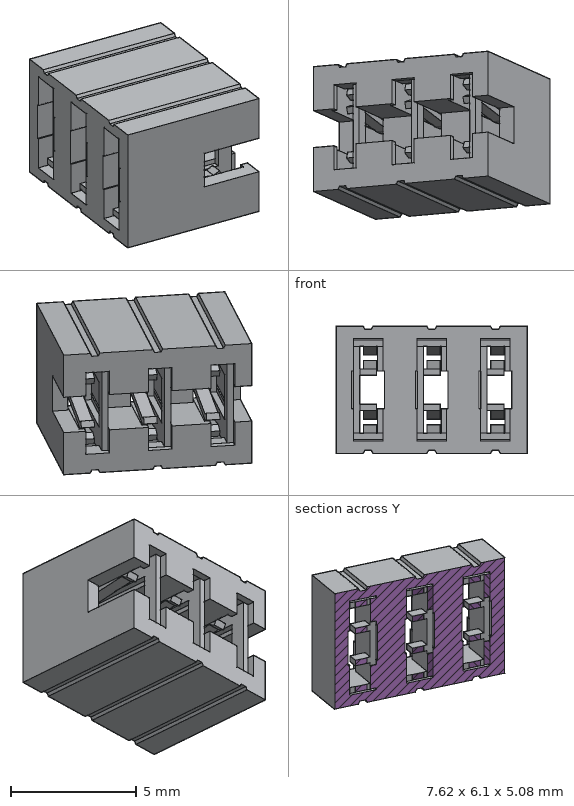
import cadquery as cq

LENGTH_X = 7.62
DEPTH_Y = 6.1
HEIGHT_Z = 5.08
CELL_COUNT = 3
PITCH = LENGTH_X / CELL_COUNT
FRONT = -DEPTH_Y / 2
BACK = DEPTH_Y / 2

CELL_WIDTH = 1.17
CELL_HEIGHT = 4.1
REAR_WALL = 0.31
EXIT_CLEARANCE = 0.03
WINDOW_DEPTH = 2.54
WINDOW_HEIGHT = 1.5
SLOT_WIDTH = 1.295
GROOVE_TOP_WIDTH = 0.4
GROOVE_FLOOR_WIDTH = 0.25
GROOVE_DEPTH = 0.12

SHEET = 0.26
CONTACT_HEIGHT = 3.98
CONTACT_WIDTH = 0.93
CONTACT_SETBACK = 0.43
INNER_LEAF_TOP = 0.83
INNER_LEAF_SETBACK = 1.525
BOX_END_FROM_BACK = 4.115
REAR_RING_LENGTH = 0.625
WEB_RAIL = 1.04
BEAM_WIDTH = 0.53
BEAM_NECK_FROM_BACK = 1.56
BEAM_TIP_FROM_BACK = 1.17
BEAM_TIP_RISE = 0.14
BEAM_TIP_LEAN = 0.11
PIN_GAP = 0.21

CELL_LEFT = -CELL_WIDTH / 2
CELL_RIGHT = CELL_WIDTH / 2
WEB_RIGHT = CELL_LEFT + SHEET
CONTACT_RIGHT = CELL_LEFT + CONTACT_WIDTH
BEAM_LEFT = CONTACT_RIGHT - BEAM_WIDTH
CONTACT_FRONT = FRONT + CONTACT_SETBACK
CONTACT_BACK = BACK - REAR_WALL
RING_FRONT = CONTACT_BACK - REAR_RING_LENGTH
BOX_END = BACK - BOX_END_FROM_BACK
CONTACT_TOP = CONTACT_HEIGHT / 2
OUTER_LEAF_UNDERSIDE = CONTACT_TOP - SHEET
PIN_AXIS_Z = (OUTER_LEAF_UNDERSIDE + INNER_LEAF_TOP) / 2
CELL_CENTRES = [(i - (CELL_COUNT - 1) / 2) * PITCH for i in range(CELL_COUNT)]


def block(x0, x1, y0, y1, z0, z1):
    """Box spanning the given limits on each axis."""
    return cq.Workplane("XY").box(x1 - x0, y1 - y0, z1 - z0, centered=False).translate((x0, y0, z0))


def mirrored_in_z(shape):
    """The shape together with its mirror image below the XY plane."""
    return shape.union(shape.mirror("XY"))


def groove(centre_x):
    """Trapezoidal grooves along Y in the top and bottom faces."""
    top = HEIGHT_Z / 2
    outline = [
        (-GROOVE_TOP_WIDTH / 2, top),
        (GROOVE_TOP_WIDTH / 2, top),
        (GROOVE_FLOOR_WIDTH / 2, top - GROOVE_DEPTH),
        (-GROOVE_FLOOR_WIDTH / 2, top - GROOVE_DEPTH),
    ]
    cutter = cq.Workplane("XZ").polyline(outline).close().extrude(DEPTH_Y / 2, both=True)
    return mirrored_in_z(cutter).translate((centre_x, 0, 0))


def cell_cavity(centre_x):
    """Contact chamber open to the front, a through slot and the exit in the rear wall."""
    half_height = CELL_HEIGHT / 2
    half_window = WINDOW_HEIGHT / 2
    chamber = block(CELL_LEFT, CELL_RIGHT, FRONT, CONTACT_BACK, -half_height, half_height)
    slot = block(-SLOT_WIDTH / 2, SLOT_WIDTH / 2, FRONT, BACK, -half_window, half_window)
    rear_exit = block(
        CELL_LEFT, CONTACT_RIGHT + EXIT_CLEARANCE, CONTACT_BACK, BACK,
        -OUTER_LEAF_UNDERSIDE, OUTER_LEAF_UNDERSIDE,
    )
    return chamber.union(slot).union(rear_exit).translate((centre_x, 0, 0))


def make_housing():
    """Block with three contact cells, grooves and a cross window open to the back."""
    body = cq.Workplane("XY").box(LENGTH_X, DEPTH_Y, HEIGHT_Z)
    window = block(
        -LENGTH_X / 2, LENGTH_X / 2, BACK - WINDOW_DEPTH, BACK, -WINDOW_HEIGHT / 2, WINDOW_HEIGHT / 2
    )
    body = body.cut(window)
    for centre_x in CELL_CENTRES:
        body = body.cut(cell_cavity(centre_x)).cut(groove(centre_x))
    return body


def spring_beam(root_z, side):
    """Beam that closes on the pin axis and flares at its tip; side is +1 above the axis, -1 below."""
    neck_y = BACK - BEAM_NECK_FROM_BACK
    tip_y = BACK - BEAM_TIP_FROM_BACK
    neck_z = PIN_AXIS_Z + side * PIN_GAP / 2
    tip_z = neck_z + side * BEAM_TIP_RISE
    thickness = side * SHEET
    outline = [
        (BOX_END, root_z),
        (neck_y, neck_z),
        (tip_y, tip_z),
        (tip_y - BEAM_TIP_LEAN, tip_z + thickness),
        (neck_y, neck_z + thickness),
        (BOX_END, root_z + thickness),
    ]
    beam = cq.Workplane("YZ").polyline(outline).close().extrude(BEAM_WIDTH)
    return beam.translate((BEAM_LEFT, 0, 0))


def make_contact(centre_x):
    """Sheet-metal contact with a side web and two pairs of spring beams."""
    rail_inner = CONTACT_TOP - WEB_RAIL
    web = block(CELL_LEFT, WEB_RIGHT, CONTACT_FRONT + SHEET, CONTACT_BACK, -CONTACT_TOP, CONTACT_TOP)
    web = web.cut(block(CELL_LEFT, WEB_RIGHT, BOX_END, RING_FRONT, -rail_inner, rail_inner))

    outer_leaf = block(CELL_LEFT, CELL_RIGHT, CONTACT_FRONT, BOX_END, OUTER_LEAF_UNDERSIDE, CONTACT_TOP)
    rear_leaf = block(
        CELL_LEFT, CONTACT_RIGHT, RING_FRONT, CONTACT_BACK, OUTER_LEAF_UNDERSIDE, CONTACT_TOP
    )
    inner_leaf = block(
        CELL_LEFT, CONTACT_RIGHT, FRONT + INNER_LEAF_SETBACK, BOX_END,
        INNER_LEAF_TOP - SHEET, INNER_LEAF_TOP,
    )
    upper_half = outer_leaf.union(rear_leaf).union(inner_leaf)
    upper_half = upper_half.union(spring_beam(OUTER_LEAF_UNDERSIDE, 1))
    upper_half = upper_half.union(spring_beam(INNER_LEAF_TOP, -1))
    return web.union(mirrored_in_z(upper_half)).translate((centre_x, 0, 0))


*loose_centres, fixed_centre = CELL_CENTRES
housing = make_housing().union(make_contact(fixed_centre))
contacts = [make_contact(centre_x) for centre_x in loose_centres]

result = cq.Compound.makeCompound([housing.val(), *[contact.val() for contact in contacts]])